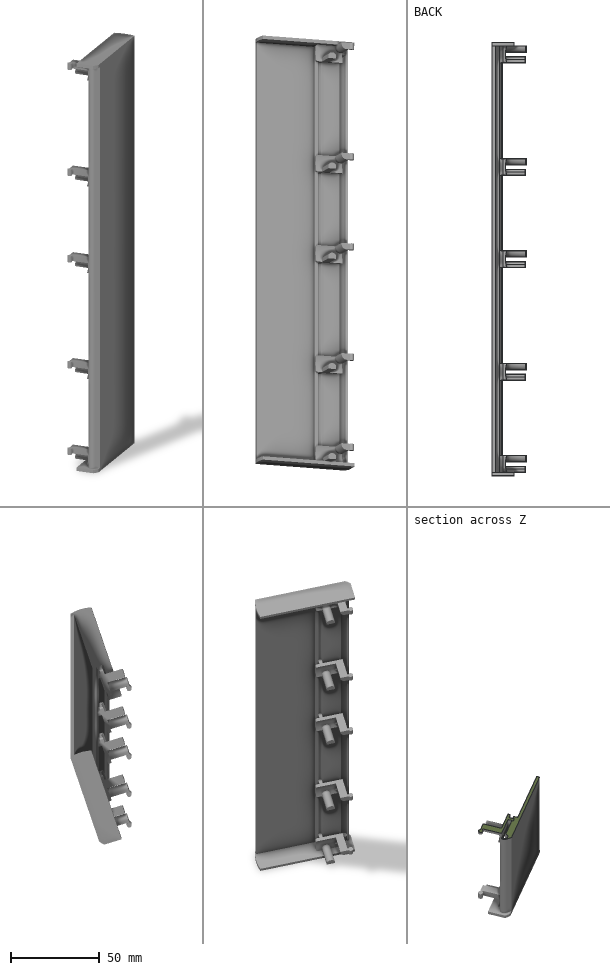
import cadquery as cq
import math

TOTAL_LENGTH = 244.5
TOTAL_DEPTH = 19.5
TOTAL_WIDTH = 56.0
OUTER_FACE_X = TOTAL_DEPTH / 2

CAP_THICKNESS = 2.0
CAP_WIDTH = 12.5
CAP_FRONT_Y = -TOTAL_WIDTH / 2
CAP_BACK_CROWN = 0.85
CAP_BACK_Y = TOTAL_WIDTH / 2 - CAP_BACK_CROWN
CAP_CORNER_DX = 2.2
CAP_CORNER_DY = 2.7
CAP_CORNER_BULGE = 0.15
PEG_DIAMETER = 2.7
PEG_Y = -24.0
PEG_LENGTH = 4.5

PANEL_LENGTH = TOTAL_LENGTH - 2 * CAP_THICKNESS
SHEET_FACE_X = 7.8
PANEL_BACK_Y = 27.0
STRIP_FACE_X = 5.4
STRIP_BACK_Y = -7.0
GROOVE_Y = -9.8
GROOVE_RADIUS = 1.0
LEDGE_WIDTH = 1.5
LEDGE_DROP = 0.12
SEAT_FACE_X = STRIP_FACE_X + LEDGE_DROP
BOSS_X = 5.5
BOSS_Y = -23.7
BOSS_RADIUS = 2.7
BORE_RADIUS = 1.7
LIP_ANGLE = 43.0
BEVEL_ANGLE = 43.0

CLIP_HEIGHT = 9.5
LONG_PITCH = 63.5
PLATE_BACK_X = 3.5
PLATE_END_X = 1.35
PLATE_HOLLOW = 0.8
PLATE_BACK_Y = -6.4
PLATE_FRONT_Y = -22.2
PLATE_CORNER_RADIUS = 1.0
TIP_X = -9.0
ARM_HEIGHT = 3.7
ARM_BACK_Y = -17.8
ARM_ROUND = 3.0
HOOK_DIAMETER = 2.7
HOOK_X = -(TOTAL_DEPTH - HOOK_DIAMETER) / 2
HOOK_Y = -24.0
NECK_WIDTH = 1.2
PIN_Y = -12.2
PIN_WIDTH = 4.6
PIN_DROP = 6.0
PIN_CROWN = 1.6
HOLE_DIAMETER = 1.4
HOLE_Y = -18.0
HOLE_DROP = 6.5


def boss_point(radius, angle):
    """Point around the boss axis, the angle in degrees from -Y toward +X."""
    turn = math.radians(angle)
    return BOSS_X + radius * math.sin(turn), BOSS_Y - radius * math.cos(turn)


def make_panel():
    """Constant section along Z: sheet, grooved strip, then the screw boss open toward -X."""
    bevel_start = boss_point(BOSS_RADIUS, BEVEL_ANGLE)
    bevel_end_y = bevel_start[1] + OUTER_FACE_X - bevel_start[0]
    return (
        cq.Workplane("XY", origin=(0, 0, -PANEL_LENGTH / 2))
        .moveTo(OUTER_FACE_X, PANEL_BACK_Y)
        .lineTo(SHEET_FACE_X, PANEL_BACK_Y)
        .lineTo(SHEET_FACE_X, STRIP_BACK_Y)
        .lineTo(STRIP_FACE_X, STRIP_BACK_Y)
        .lineTo(STRIP_FACE_X, GROOVE_Y + GROOVE_RADIUS)
        .threePointArc((STRIP_FACE_X + GROOVE_RADIUS, GROOVE_Y), (STRIP_FACE_X, GROOVE_Y - GROOVE_RADIUS))
        .lineTo(SEAT_FACE_X, GROOVE_Y - GROOVE_RADIUS - LEDGE_WIDTH)
        .lineTo(SEAT_FACE_X, BOSS_Y + BORE_RADIUS)
        .lineTo(BOSS_X, BOSS_Y + BORE_RADIUS)
        .threePointArc((BOSS_X + BORE_RADIUS, BOSS_Y), boss_point(BORE_RADIUS, -LIP_ANGLE))
        .lineTo(*boss_point(BOSS_RADIUS, -LIP_ANGLE))
        .threePointArc(boss_point(BOSS_RADIUS, 0), bevel_start)
        .lineTo(OUTER_FACE_X, bevel_end_y)
        .close()
        .extrude(PANEL_LENGTH)
    )


def make_cap(end):
    """End cap; end is +1 for the top and -1 for the bottom."""
    inner_x = OUTER_FACE_X - CAP_WIDTH
    bevel_x = OUTER_FACE_X - CAP_CORNER_DX
    bevel_y = CAP_FRONT_Y + CAP_CORNER_DY
    bulge = CAP_CORNER_BULGE / math.hypot(CAP_CORNER_DX, CAP_CORNER_DY)
    bevel_middle = (
        OUTER_FACE_X - CAP_CORNER_DX / 2 + bulge * CAP_CORNER_DY,
        CAP_FRONT_Y + CAP_CORNER_DY / 2 - bulge * CAP_CORNER_DX,
    )
    inner_z = end * PANEL_LENGTH / 2
    plate = (
        cq.Workplane("XY", origin=(0, 0, inner_z))
        .moveTo(inner_x, CAP_FRONT_Y)
        .lineTo(bevel_x, CAP_FRONT_Y)
        .threePointArc(bevel_middle, (OUTER_FACE_X, bevel_y))
        .lineTo(OUTER_FACE_X, CAP_BACK_Y)
        .threePointArc((OUTER_FACE_X - CAP_WIDTH / 2, CAP_BACK_Y + CAP_BACK_CROWN), (inner_x, CAP_BACK_Y))
        .close()
        .extrude(end * CAP_THICKNESS)
    )
    peg = (
        cq.Workplane("XY", origin=(BOSS_X, PEG_Y, inner_z))
        .circle(PEG_DIAMETER / 2)
        .extrude(-end * PEG_LENGTH)
    )
    return plate.union(peg)


def make_clip(top):
    """Clip whose upper face is at height top."""
    bottom = top - CLIP_HEIGHT
    middle = top - CLIP_HEIGHT / 2
    hollow_x = PLATE_END_X + PLATE_HOLLOW

    plate = (
        cq.Workplane("XZ", origin=(0, PLATE_BACK_Y, 0))
        .moveTo(PLATE_BACK_X, bottom)
        .lineTo(PLATE_BACK_X, top)
        .lineTo(PLATE_END_X, top)
        .threePointArc((hollow_x, middle), (PLATE_END_X, bottom))
        .close()
        .extrude(PLATE_BACK_Y - PLATE_FRONT_Y)
        .edges("|X and >Y")
        .fillet(PLATE_CORNER_RADIUS)
    )
    tongue = (
        cq.Workplane("XY", origin=(0, 0, bottom))
        .moveTo(PLATE_BACK_X, GROOVE_Y + GROOVE_RADIUS)
        .lineTo(STRIP_FACE_X, GROOVE_Y + GROOVE_RADIUS)
        .threePointArc((STRIP_FACE_X + GROOVE_RADIUS, GROOVE_Y), (STRIP_FACE_X, GROOVE_Y - GROOVE_RADIUS))
        .lineTo(PLATE_BACK_X, GROOVE_Y - GROOVE_RADIUS)
        .close()
        .extrude(CLIP_HEIGHT)
    )
    arm = (
        cq.Workplane("XY", origin=(0, 0, top - ARM_HEIGHT))
        .moveTo(TIP_X, PLATE_FRONT_Y)
        .lineTo(PLATE_BACK_X, PLATE_FRONT_Y)
        .lineTo(PLATE_BACK_X, ARM_BACK_Y)
        .lineTo(TIP_X, ARM_BACK_Y)
        .close()
        .extrude(ARM_HEIGHT)
        .edges("|X and >Y and <Z")
        .fillet(ARM_ROUND)
    )
    neck = (
        cq.Workplane("XY", origin=(0, 0, top - ARM_HEIGHT))
        .moveTo(TIP_X, HOOK_Y)
        .lineTo(TIP_X + NECK_WIDTH, HOOK_Y)
        .lineTo(TIP_X + NECK_WIDTH, PLATE_FRONT_Y)
        .lineTo(TIP_X, PLATE_FRONT_Y)
        .close()
        .extrude(ARM_HEIGHT)
    )
    hook = (
        cq.Workplane("XY", origin=(HOOK_X, HOOK_Y, top - ARM_HEIGHT))
        .circle(HOOK_DIAMETER / 2)
        .extrude(ARM_HEIGHT)
    )
    crown = top - PIN_DROP
    spring = crown - PIN_CROWN
    pin = (
        cq.Workplane("YZ", origin=(TIP_X, 0, 0))
        .moveTo(PIN_Y - PIN_WIDTH / 2, bottom)
        .lineTo(PIN_Y - PIN_WIDTH / 2, spring)
        .threePointArc((PIN_Y, crown), (PIN_Y + PIN_WIDTH / 2, spring))
        .lineTo(PIN_Y + PIN_WIDTH / 2, bottom)
        .close()
        .extrude(PLATE_BACK_X - TIP_X)
    )
    hole = (
        cq.Workplane("YZ", origin=(PLATE_END_X, HOLE_Y, top - HOLE_DROP))
        .circle(HOLE_DIAMETER / 2)
        .extrude(PLATE_BACK_X - PLATE_END_X)
    )
    return plate.union(tongue).union(arm).union(neck).union(hook).union(pin).cut(hole)


first_top = PANEL_LENGTH / 2
last_top = CLIP_HEIGHT - PANEL_LENGTH / 2
middle_top = (first_top + last_top) / 2
clip_tops = [first_top, first_top - LONG_PITCH, middle_top, middle_top - LONG_PITCH, last_top]

panel = make_panel()
caps = [make_cap(end) for end in (1, -1)]
clips = [make_clip(top) for top in clip_tops]

result = cq.Compound.makeCompound(
    [panel.val(), *[cap.val() for cap in caps], *[clip.val() for clip in clips]]
)